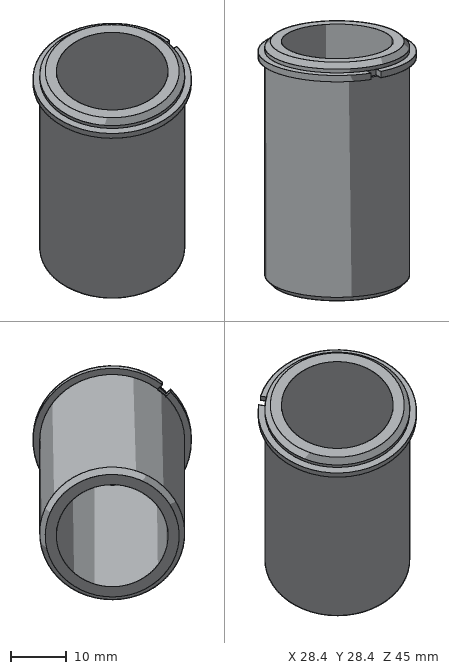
import cadquery as cq

sleeve_length = 45.0
sleeve_radius = 13.0
bore_radius = 10.0
end_chamfer = 1.0

ring_outer_radius = 14.2
ring_thickness = 1.2
ring_gap_width = 2.0
ring_bottom_depth = 3.0

groove_depth = 0.55
groove_clearance = 0.1

groove_radius = sleeve_radius - groove_depth
groove_height = ring_thickness + groove_clearance
ring_bottom_z = sleeve_length - ring_bottom_depth


def annulus(outer_radius, inner_radius, height, bottom_z):
    """Flat-ended ring around the Z axis."""
    return (
        cq.Workplane("XY", origin=(0, 0, bottom_z))
        .circle(outer_radius)
        .circle(inner_radius)
        .extrude(height)
    )


def make_sleeve():
    """Bored cylinder with chamfered rims and a snap ring groove."""
    cylinder = cq.Workplane("XY").circle(sleeve_radius).extrude(sleeve_length)
    chamfered = cylinder.faces("<Z or >Z").chamfer(end_chamfer)
    bore = cq.Workplane("XY").circle(bore_radius).extrude(sleeve_length)
    groove = annulus(ring_outer_radius, groove_radius, groove_height, ring_bottom_z)
    return chamfered.cut(bore).cut(groove)


def make_snap_ring():
    """Flat ring resting on the lower groove wall, split on its +Y side."""
    ring = annulus(ring_outer_radius, groove_radius, ring_thickness, ring_bottom_z)
    gap = cq.Workplane("XY", origin=(0, 0, ring_bottom_z)).box(
        ring_gap_width,
        ring_outer_radius,
        ring_thickness,
        centered=(True, False, False),
    )
    return ring.cut(gap)


sleeve = make_sleeve()
snap_ring = make_snap_ring()

result = cq.Compound.makeCompound([sleeve.val(), snap_ring.val()])